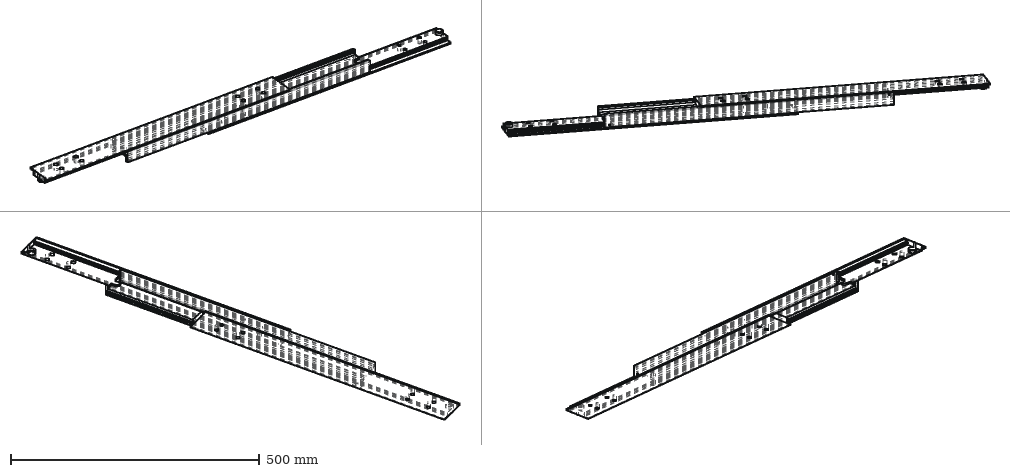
import cadquery as cq


overall_length = 1000.0
overall_width = 60.0
overall_height = 34.0
member_length = 600.0

flange_thickness = 3.0
body_width = 40.0
rail_height = 12.0
rail_groove_radius = 1.5
upper_hole_diameter = 8.5
lower_hole_diameter = 7.0
hole_spacing = 20.0
hole_distances = [50.0, 100.0, 500.0, 550.0]

stop_radius = 8.0
stop_height = 19.0
stop_chamfer = 1.5
stop_overhang = 0.7

middle_width = 59.0
middle_height = 27.0
wall_thickness = 7.0
web_thickness = 4.0
outer_fillet = 1.5
wall_groove_radius = 2.0
notch_radius = 7.5
notch_depth = 16.0
pin_hole_diameter = 3.0
pin_hole_inset = 10.0

half_height = overall_height / 2
groove_height = half_height - (flange_thickness + rail_height) / 2
middle_start = (overall_length - member_length) / 2
middle_end = middle_start + member_length
channel_half_width = middle_width / 2 - wall_thickness


def box(width, length, height, y_start, z_start):
    """Block centred on X that starts at the given Y and Z."""
    block = cq.Workplane("XY").box(width, length, height, centered=(True, False, False))
    return block.translate((0, y_start, z_start))


def groove_bars(x_center, z_center, radius, y_start):
    """Two round bars along Y that cut a pair of ball grooves."""
    return (
        cq.Workplane("XZ", origin=(0, y_start, z_center))
        .pushPoints([(-x_center, 0), (x_center, 0)])
        .circle(radius)
        .extrude(-member_length)
    )


def half_turn(shape):
    """Turn a shape by half a turn about the slide's X-parallel centre line."""
    middle = overall_length / 2
    return shape.rotate((0, middle, 0), (1, middle, 0), 180)


def make_stop():
    """Round stop that hangs down at the -Y end of the upper rail."""
    return (
        cq.Workplane("XY", origin=(0, stop_radius, half_height - stop_height))
        .circle(stop_radius)
        .extrude(stop_height)
        .faces("<Z")
        .chamfer(stop_chamfer)
    )


def make_rail(hole_diameter):
    """Rail in the upper place: flange on top, grooved body below, stop and screw holes."""
    flange_bottom = half_height - flange_thickness
    flange = box(overall_width, member_length, flange_thickness, stop_overhang, flange_bottom)
    body = box(body_width, member_length, rail_height, stop_overhang, half_height - rail_height)
    grooves = groove_bars(body_width / 2, groove_height, rail_groove_radius, stop_overhang)
    hole_points = [(side * hole_spacing / 2, y) for side in (-1, 1) for y in hole_distances]
    holes = (
        cq.Workplane("XY", origin=(0, 0, half_height))
        .pushPoints(hole_points)
        .circle(hole_diameter / 2)
        .extrude(-rail_height)
    )
    return flange.union(body).cut(grooves).union(make_stop()).cut(holes)


def make_notch():
    """Round-ended cutter for the notch in the +Y end of the web."""
    center = middle_end - notch_depth + notch_radius
    web_bottom = -web_thickness / 2
    mouth = box(2 * notch_radius, middle_end - center, web_thickness, center, web_bottom)
    round_end = (
        cq.Workplane("XY", origin=(0, center, web_bottom))
        .circle(notch_radius)
        .extrude(web_thickness)
    )
    return mouth.union(round_end)


def make_pin_hole():
    """Cutter for the small hole through the -X wall near the +Y end."""
    return (
        cq.Workplane("YZ", origin=(-middle_width / 2, middle_end - pin_hole_inset, -groove_height))
        .circle(pin_hole_diameter / 2)
        .extrude(wall_thickness)
    )


def make_upper_channel():
    """Cutter for the channel above the web, with a ball groove in each wall."""
    channel_height = (middle_height - web_thickness) / 2
    channel = box(
        2 * channel_half_width, member_length, channel_height, middle_start, web_thickness / 2
    )
    return channel.union(
        groove_bars(channel_half_width, groove_height, wall_groove_radius, middle_start)
    )


def make_middle_member():
    """H-shaped member, the same after half a turn about the X-parallel centre line."""
    member = box(middle_width, member_length, middle_height, middle_start, -middle_height / 2)
    member = member.edges("|Y").fillet(outer_fillet)
    for cutter in (make_upper_channel(), make_notch(), make_pin_hole()):
        member = member.cut(cutter).cut(half_turn(cutter))
    return member


upper_rail = make_rail(upper_hole_diameter)
lower_rail = half_turn(make_rail(lower_hole_diameter))
middle_member = make_middle_member()

result = cq.Compound.makeCompound([upper_rail.val(), lower_rail.val(), middle_member.val()])